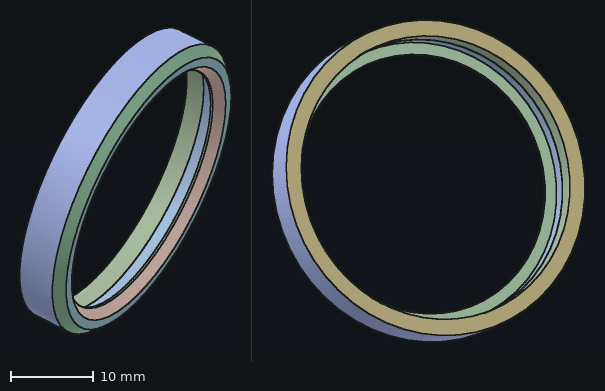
import cadquery as cq

outer_diameter = 39.0
width = 6.0
chamfer = 1.2

entry_diameter = 35.02
seat_diameter = 35.0
lip_diameter = 32.0
entry_depth = 2.5
seat_depth = 4.5

flare_length = 1.2
flare_rise = 1.0


def bore(diameter, depth):
    """Cylinder that cuts into the ring from its -X face."""
    return cq.Workplane("YZ").circle(diameter / 2).extrude(depth)


blank = cq.Workplane("YZ").circle(outer_diameter / 2).extrude(width)
blank = blank.faces(">X").edges().chamfer(chamfer)

ring = blank.cut(bore(entry_diameter, entry_depth))
ring = ring.cut(bore(seat_diameter, seat_depth))
ring = ring.cut(bore(lip_diameter, width))

lip_radius = lip_diameter / 2
flare_profile = [
    (width - flare_length, 0),
    (width - flare_length, lip_radius),
    (width, lip_radius + flare_rise),
    (width, 0),
]
flare = cq.Workplane("XY").polyline(flare_profile).close().revolve(360, (0, 0, 0), (1, 0, 0))
ring = ring.cut(flare)

result = ring.translate((-width / 2, 0, 0))